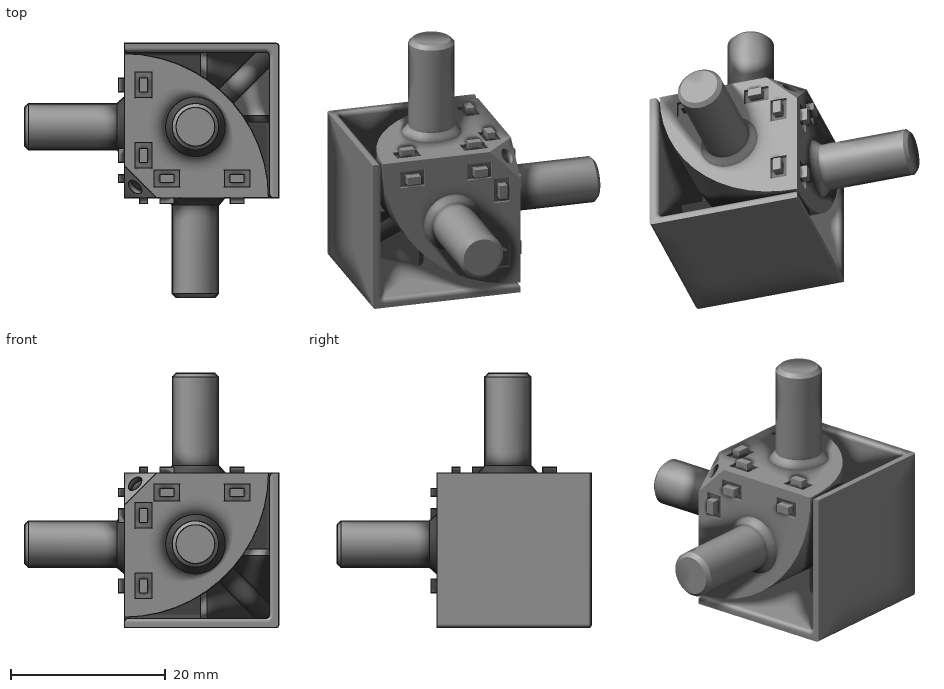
import cadquery as cq
import math

ORIGIN = (0, 0, 0)
DIAGONAL = (1, 1, -1)
TURNS = (0, 120, 240)

cube_size = 20.0
wall = 1.2
outer_round = 0.4
inner_round = 0.5
rim_round = 0.55

rib_thickness = 1.2
rib_start = 10.25
rod_radius = 1.95

core_radius = 18.64
corner_cut = 4.17
pin_hole_diameter = 2.1
pin_hole_depth = 0.75

shaft_center = 9.2
shaft_radius = 3.0
shaft_length = 12.9
shaft_chamfer = 0.5
cone_height = 0.95
foot_depth = 1.0
foot_slope = 0.9
foot_radius = shaft_radius + foot_slope * (cone_height + foot_depth)

key_length = 1.8
key_width = 1.03
key_height = 0.76
window_length = 3.3
window_width = 2.2
window_depth = 0.45
plate_thickness = 0.4
plate_bevel = 2.5
key_edge_distance = 2.5
key_positions = (5.5, 14.6)


def turned(shape, angle):
    """Copy of a shape turned about the body diagonal."""
    return shape.rotate(ORIGIN, DIAGONAL, angle)


def across_diagonal(distance):
    """Workplane square to the body diagonal, facing away from the near corner."""
    step = distance / math.sqrt(3)
    return cq.Workplane(cq.Plane(origin=(step, step, -step), xDir=(1, -1, 0), normal=DIAGONAL))


def cube(size):
    """Cube with its near top-left corner at the origin."""
    return cq.Workplane("XY").box(size, size, size, centered=False).translate((0, 0, -size))


def rounded_cube(size, radius):
    """Cube whose three edges at the far corner are rounded."""
    return cube(size).edges("(>X and >Y) or (>X and <Z) or (>Y and <Z)").fillet(radius)




def at_key_places(length, width, height):
    """The same box at the four key places of the top face, standing on the window floors."""
    along_x = [(position, key_edge_distance) for position in key_positions]
    along_y = [(key_edge_distance, position) for position in key_positions]
    floor = cq.Workplane("XY").workplane(offset=-window_depth)
    boxes = floor.pushPoints(along_x).rect(length, width).extrude(height)
    return boxes.union(floor.pushPoints(along_y).rect(width, length).extrude(height))


def make_plate():
    """L-shaped plate under the windows of the top face, its corner bevelled to clear the pin hole."""
    start = key_edge_distance - window_width / 2
    inside = start + window_width
    end = key_positions[-1] + window_length / 2
    leg = [(start + plate_bevel, start), (end, start), (end, inside)]
    other_leg = [(y, x) for x, y in reversed(leg)]
    outline = leg + [(inside, inside)] + other_leg
    floor = cq.Workplane("XY").workplane(offset=-window_depth)
    return floor.polyline(outline).close().extrude(-plate_thickness)


def make_keyed_plate():
    """Plate with its four keys, which stand out of the top face."""
    return make_plate().union(at_key_places(key_length, key_width, window_depth + key_height))




def make_shaft():
    """Upright shaft with a chamfered end and a conical foot set into the core."""
    profile = (
        cq.Workplane("XZ")
        .moveTo(0, -foot_depth)
        .lineTo(foot_radius, -foot_depth)
        .lineTo(shaft_radius, cone_height)
        .lineTo(shaft_radius, shaft_length - shaft_chamfer)
        .lineTo(shaft_radius - shaft_chamfer, shaft_length)
        .lineTo(0, shaft_length)
        .close()
    )
    return profile.revolve(360, (0, 0), (0, 1)).translate((shaft_center, shaft_center, 0))




def make_plain_core():
    """Core without its details: the part of the cube that three crossing cylinders share."""
    body = cube(cube_size)
    for angle in TURNS:
        cylinder = cq.Workplane("XY").circle(core_radius).extrude(-cube_size)
        body = body.intersect(turned(cylinder, angle))
    return body


def make_core():
    """Core with its bevelled corner, the pin hole there, and the seats of plates and shafts."""
    bevel_face = across_diagonal(corner_cut / math.sqrt(3))
    core = make_plain_core()
    core = core.cut(bevel_face.rect(cube_size, cube_size).extrude(-corner_cut))
    core = core.cut(bevel_face.circle(pin_hole_diameter / 2).extrude(pin_hole_depth))
    windows = at_key_places(window_length, window_width, window_depth)
    for angle in TURNS:
        for seat in (windows, make_plate(), make_shaft()):
            core = core.cut(turned(seat, angle))
    return core




def make_walls():
    """Three walls that meet at the far corner, with rounded inner rims."""
    inner = cube_size - wall
    walls = rounded_cube(cube_size, outer_round).cut(rounded_cube(inner, inner_round))
    margin = wall / 2
    cavity_box = cq.selectors.BoxSelector(
        (-margin, -margin, -inner - margin), (inner + margin, inner + margin, margin), boundingbox=True
    )
    return walls.edges("<X or <Y or >Z").edges(cavity_box).fillet(rim_round)


def make_rib():
    """Triangular rib halfway between the bottom and back walls, from the rod to the +X wall."""
    inner = cube_size - wall / 2
    corners = [(rib_start, rib_start), (inner, rib_start), (inner, inner)]
    outline = [(x, y * math.sqrt(2)) for x, y in corners]
    rib = cq.Workplane("XY").polyline(outline).close().extrude(rib_thickness / 2, both=True)
    return rib.rotate(ORIGIN, (1, 0, 0), -45)


def make_shell():
    """Walls with the ribs and the diagonal rod, which end on the core."""
    supports = across_diagonal(core_radius).circle(rod_radius).extrude(cube_size)
    for angle in TURNS:
        supports = supports.union(turned(make_rib(), angle))
    supports = supports.cut(make_plain_core()).intersect(rounded_cube(cube_size, outer_round))
    return make_walls().union(supports)


core = make_core()
shell = make_shell()
key_plates = [turned(make_keyed_plate(), angle) for angle in TURNS]
shafts = [turned(make_shaft(), angle) for angle in TURNS]

result = cq.Compound.makeCompound(
    [
        core.val(),
        shell.val(),
        *[plate.val() for plate in key_plates],
        *[shaft.val() for shaft in shafts],
    ]
)